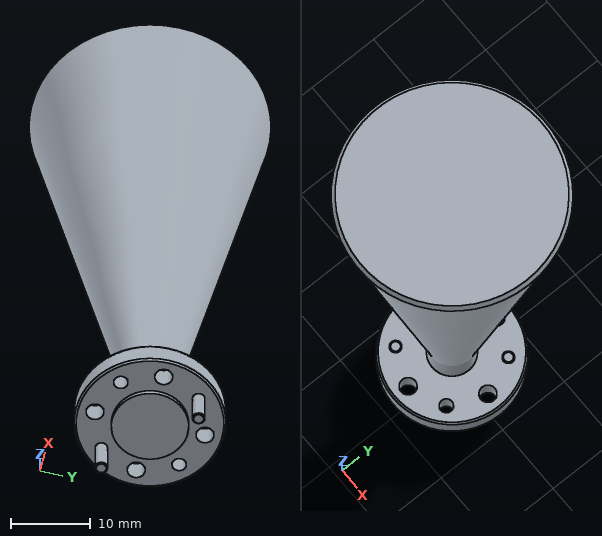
import cadquery as cq
import math

total_height = 75.0
boss_bottom = 4.05
flange_bottom = 4.7
flange_top = 8.0
cone_bottom = 12.4

mouth_radius = 15.2
mouth_chamfer = 0.5
neck_radius = 3.2

flange_radius = 9.5
flange_chamfer = 0.25
boss_radius = 4.9

bolt_circle_radius = 7.1
screw_hole_diameter = 2.25
dowel_hole_diameter = 1.8
pin_diameter = 1.6
pin_chamfer = 0.15

screw_angles = (0, 90, 180, 270)
pin_angles = (45, 225)
dowel_hole_angles = (135, 315)


def bolt_circle_points(angles):
    """Points on the bolt circle at the given angles in degrees."""
    return [
        (
            bolt_circle_radius * math.cos(math.radians(angle)),
            bolt_circle_radius * math.sin(math.radians(angle)),
        )
        for angle in angles
    ]


def through_holes(angles, diameter):
    """Cutting cylinders that pass through the full flange thickness."""
    return (
        cq.Workplane("XY", origin=(0, 0, flange_bottom))
        .pushPoints(bolt_circle_points(angles))
        .circle(diameter / 2)
        .extrude(flange_top - flange_bottom)
    )


def make_horn():
    """Conical horn, neck, flange and locating boss, turned as one solid and drilled."""
    horn = (
        cq.Workplane("XZ")
        .moveTo(0, boss_bottom)
        .lineTo(boss_radius, boss_bottom)
        .lineTo(boss_radius, flange_bottom)
        .lineTo(flange_radius - flange_chamfer, flange_bottom)
        .lineTo(flange_radius, flange_bottom + flange_chamfer)
        .lineTo(flange_radius, flange_top - flange_chamfer)
        .lineTo(flange_radius - flange_chamfer, flange_top)
        .lineTo(neck_radius, flange_top)
        .lineTo(neck_radius, cone_bottom)
        .lineTo(mouth_radius, total_height - mouth_chamfer)
        .lineTo(mouth_radius - mouth_chamfer, total_height)
        .lineTo(0, total_height)
        .close()
        .revolve(360, (0, 0, 0), (0, 1, 0))
    )
    horn = horn.cut(through_holes(screw_angles, screw_hole_diameter))
    horn = horn.cut(through_holes(dowel_hole_angles, dowel_hole_diameter))
    return horn.cut(through_holes(pin_angles, pin_diameter))


def make_pin(x, y):
    """Dowel pin, flush with the top of the flange and chamfered at both ends."""
    return (
        cq.Workplane("XY", origin=(x, y, 0))
        .circle(pin_diameter / 2)
        .extrude(flange_top)
        .faces("<Z or >Z")
        .chamfer(pin_chamfer)
    )


horn = make_horn()
pins = [make_pin(x, y) for x, y in bolt_circle_points(pin_angles)]

result = cq.Compound.makeCompound([horn.val(), *[pin.val() for pin in pins]])